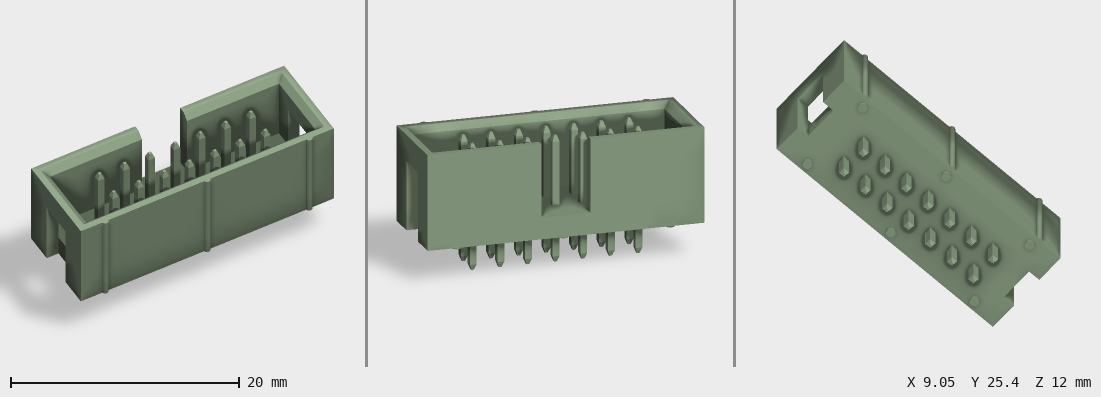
import cadquery as cq

LENGTH = 25.45
WIDTH = 8.8
HEIGHT = 8.8
WALL = 1.2
FLOOR = 1.98
RIM_CHAMFER = 0.59

KEY_WIDTH = 4.53
END_SLOT_WIDTH = 3.3
END_SLOT_TOP = 6.35

PIN_COUNT = 7
PIN_ROWS = 2
PIN_SPAN = 15.25
PIN_PITCH = PIN_SPAN / (PIN_COUNT - 1)
PIN_SIDE = 0.64
PIN_TIP_SIDE = 0.25
PIN_TAPER = 0.53
PIN_TOP = 8.42
PIN_BOTTOM = -3.2

STANDOFF_DIAMETER = 0.85
STANDOFF_HEIGHT = 0.25
STANDOFF_EDGE_INSET = 0.8
STANDOFF_SPACING = 9.82

RIB_WIDTH = 0.6
RIB_DEPTH = 0.25
RIB_SPACING = 10.25


def block(size_x, size_y, z_bottom, z_top):
    """Upright block centred on the Z axis."""
    return cq.Workplane("XY").workplane(offset=z_bottom).rect(size_x, size_y).extrude(z_top - z_bottom)


def make_shell():
    cavity_x = WIDTH - 2 * WALL
    cavity_y = LENGTH - 2 * WALL
    shell = block(WIDTH, LENGTH, 0, HEIGHT).cut(block(cavity_x, cavity_y, FLOOR, HEIGHT))

    bevel = (
        cq.Workplane("XY")
        .workplane(offset=HEIGHT - RIM_CHAMFER)
        .rect(cavity_x, cavity_y)
        .workplane(offset=RIM_CHAMFER)
        .rect(cavity_x + 2 * RIM_CHAMFER, cavity_y + 2 * RIM_CHAMFER)
        .loft(ruled=True)
    )
    shell = shell.cut(bevel)

    key = block(WALL, KEY_WIDTH, FLOOR, HEIGHT).translate((-(WIDTH - WALL) / 2, 0, 0))
    shell = shell.cut(key)

    for side in (-1, 1):
        slot = block(END_SLOT_WIDTH, WALL, 0, END_SLOT_TOP)
        shell = shell.cut(slot.translate((0, side * (LENGTH - WALL) / 2, 0)))
    return shell


def make_pin():
    shaft_bottom = PIN_BOTTOM + PIN_TAPER
    shaft_top = PIN_TOP - PIN_TAPER
    pin = block(PIN_SIDE, PIN_SIDE, shaft_bottom, shaft_top)
    for base_z, taper in ((shaft_top, PIN_TAPER), (shaft_bottom, -PIN_TAPER)):
        tip = (
            cq.Workplane("XY")
            .workplane(offset=base_z)
            .rect(PIN_SIDE, PIN_SIDE)
            .workplane(offset=taper)
            .rect(PIN_TIP_SIDE, PIN_TIP_SIDE)
            .loft(ruled=True)
        )
        pin = pin.union(tip)
    return pin


def add_pins(body):
    pin = make_pin()
    for row in range(PIN_ROWS):
        x = (row - (PIN_ROWS - 1) / 2) * PIN_PITCH
        for index in range(PIN_COUNT):
            y = (index - (PIN_COUNT - 1) / 2) * PIN_PITCH
            body = body.union(pin.translate((x, y, 0)))
    return body


def add_standoffs(body):
    x = WIDTH / 2 - STANDOFF_EDGE_INSET
    centres = [(side * x, step * STANDOFF_SPACING) for side in (-1, 1) for step in (-1, 0, 1)]
    standoffs = cq.Workplane("XY").pushPoints(centres).circle(STANDOFF_DIAMETER / 2).extrude(-STANDOFF_HEIGHT)
    return body.union(standoffs)


def add_ribs(body):
    wall_x = WIDTH / 2
    rib = (
        cq.Workplane("XY")
        .moveTo(wall_x, -RIB_WIDTH / 2)
        .threePointArc((wall_x + RIB_DEPTH, 0), (wall_x, RIB_WIDTH / 2))
        .close()
        .extrude(HEIGHT)
    )
    for step in (-1, 0, 1):
        body = body.union(rib.translate((0, step * RIB_SPACING, 0)))
    return body


result = add_ribs(add_standoffs(add_pins(make_shell())))